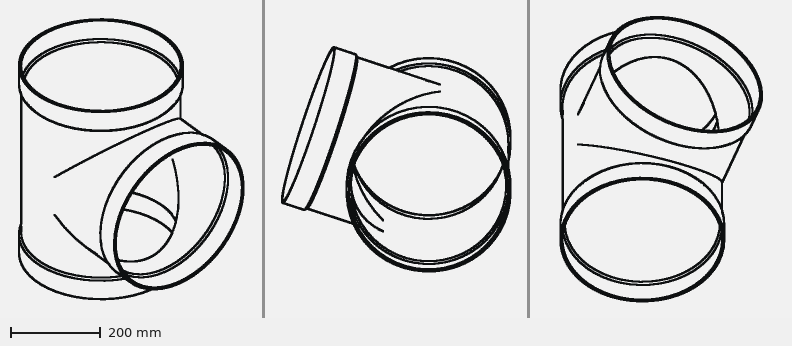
import cadquery as cq

wall = 5.0
pipe_bore = 345.0
main_length = 505.0
overall_width = 465.0
socket_length = 50.0
taper_length = 5.0

bore_radius = pipe_bore / 2
pipe_radius = bore_radius + wall
socket_bore_radius = pipe_radius
socket_radius = socket_bore_radius + wall
half_length = main_length / 2
branch_length = overall_width - socket_radius


def revolve_about_z(outline):
    """Solid of revolution about Z from (radius, height) points."""
    return cq.Workplane("XZ").polyline(outline).close().revolve(360, (0, 0, 0), (0, 1, 0))


def socket_end(pipe_r, socket_r, length):
    """Outline points from the pipe, over the cone, to the mouth of a socket."""
    socket_start = length - socket_length
    return [
        (pipe_r, socket_start - taper_length),
        (socket_r, socket_start),
        (socket_r, length),
    ]


def main_pipe(pipe_r, socket_r):
    """Solid pipe along Z with a socket at both ends, centred on the origin."""
    upper = socket_end(pipe_r, socket_r, half_length)
    lower = [(radius, -height) for radius, height in reversed(upper)]
    return revolve_about_z([(0, -half_length)] + lower + upper + [(0, half_length)])


def branch_pipe(pipe_r, socket_r):
    """Solid pipe along +X from the main axis, with a socket at its mouth."""
    end = socket_end(pipe_r, socket_r, branch_length)
    upright = revolve_about_z([(0, 0), (pipe_r, 0)] + end + [(0, branch_length)])
    return upright.rotate((0, 0, 0), (0, 1, 0), 90)


def tee(pipe_r, socket_r):
    """Solid tee; pipes of equal radius meet in 45 degree mitres."""
    return main_pipe(pipe_r, socket_r).union(branch_pipe(pipe_r, socket_r))


outside = tee(pipe_radius, socket_radius)
inside = tee(bore_radius, socket_bore_radius)
result = outside.cut(inside)